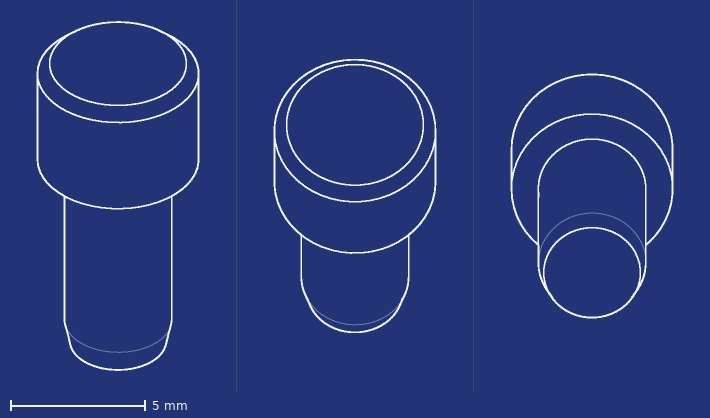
import cadquery as cq

total_length = 13.0
head_diameter = 6.0
head_height = 4.5
head_chamfer = 0.45
shank_diameter = 4.0
tip_diameter = 3.6
tip_length = 1.0

head_radius = head_diameter / 2
shank_radius = shank_diameter / 2
tip_radius = tip_diameter / 2
head_bottom = total_length - head_height

half_section = (
    cq.Workplane("XZ")
    .polyline([
        (0, 0),
        (tip_radius, 0),
        (shank_radius, tip_length),
        (shank_radius, head_bottom),
        (head_radius, head_bottom),
        (head_radius, total_length - head_chamfer),
        (head_radius - head_chamfer, total_length),
        (0, total_length),
    ])
    .close()
)

result = half_section.revolve(360, (0, 0, 0), (0, 1, 0))